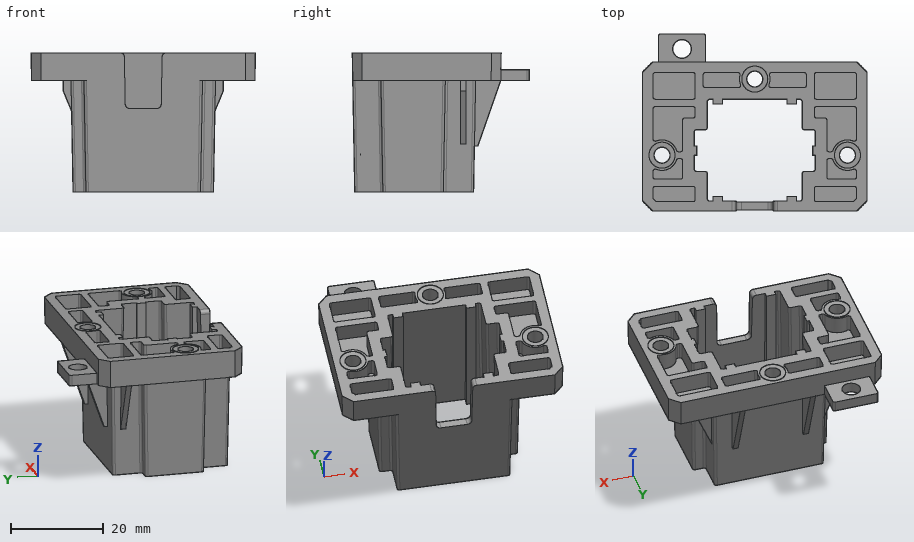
import cadquery as cq
import math

DRAFT = 1.0

WIDTH = 48.4
FLANGE_DEPTH = 32.15
FLANGE_THICK = 6.0
TOTAL_HEIGHT = 30.0
CORNER_CHAMFER = 2.15

CAVITY_HALF_MAIN = 10.2
CAVITY_HALF_WING = 13.02
CAVITY_FRONT = 2.2
CAVITY_BACK = 24.05
CAVITY_WING_FRONT = 8.55
CAVITY_WING_BACK = 17.55
WALL = 2.65
BODY_WING_FRONT = 6.1
BODY_CORNER_RADIUS = 0.55
CAVITY_CORNER_RADIUS = 0.5

END_KEY_WIDTH = 2.15
END_KEY_CENTRE = 8.0
END_KEY_HEIGHT = 1.0
SIDE_KEY_WIDTH = 2.05
SIDE_KEY_CENTRE = 13.02
SIDE_KEY_HEIGHT = 0.55

NOTCH_DEPTH = 12.0
NOTCH_HALF_BOTTOM = 3.85
NOTCH_BOTTOM_RADIUS = 1.0
NOTCH_LIP_RADIUS = 0.85
NOTCH_CLEARANCE = 0.5

SIDE_BOSS_X = 20.0
SIDE_BOSS_Y = 12.05
BACK_BOSS_Y = 28.45
SCREW_RADIUS = 1.7
BOSS_RADIUS = 3.3
SEAT_RADIUS = 2.8
SEAT_DEPTH = 0.1
BOSS_WEB = 1.45

POCKET_DEPTH = 3.95
POCKET_RADIUS = 0.5
POCKET_OUTER_X = 21.95
POCKET_INNER_X = 12.85
POCKET_NARROW_X = 15.55
BACK_POCKET_Y = (24.1, 29.88)
SIDE_POCKET_Y = (6.88, 22.5)
SIDE_POCKET_STEP_Y = 20.1
FRONT_POCKET_Y = (2.05, 5.35)
FRONT_POCKET_CHAMFER = 0.7
MIDDLE_POCKET_Y = (26.65, 29.88)
MIDDLE_POCKET_OUTER_X = 11.15

TAB_X = -15.7
TAB_WIDTH = 10.2
TAB_END_Y = 38.2
TAB_THICK = 2.4
TAB_RADIUS = 0.5
TAB_HOLE_Y = 34.95
TAB_HOLE_RADIUS = 2.0

RIB_THICK = 1.15
SIDE_RIB_Y = 23.95
SIDE_RIB_REACH = 17.3
SIDE_RIB_SHOULDER = 2.2
SIDE_RIB_BOTTOM = 19.65
BACK_RIB_TIP = 0.4
BACK_RIB_BOTTOM = 20.1


def inset(depth):
    """Distance a drafted wall has moved sideways at a given depth below the top."""
    return depth * math.tan(math.radians(DRAFT))


def box(x0, x1, y0, y1, z0, z1):
    return cq.Workplane("XY").box(x1 - x0, y1 - y0, z1 - z0, centered=False).translate((x0, y0, z0))


def cylinder(x, y, radius, top, depth):
    return cq.Workplane("XY", origin=(x, y, top)).circle(radius).extrude(-depth)


def both_sides(solid):
    return solid.union(solid.mirror("YZ"))


def drafted_block(half_width, y_front, y_back):
    """Full-height block of the given top size, narrowing downwards."""
    centre = (0, (y_front + y_back) / 2)
    block = cq.Workplane("XY").center(*centre).rect(2 * half_width, y_back - y_front)
    return block.extrude(-TOTAL_HEIGHT, taper=DRAFT)


def flared_block(half_width, y_front, y_back):
    """Full-height block of the given top size, widening downwards."""
    spread = 2 * inset(TOTAL_HEIGHT)
    centre = (0, (y_front + y_back) / 2, -TOTAL_HEIGHT)
    block = cq.Workplane("XY", origin=centre).rect(2 * half_width + spread, y_back - y_front + spread)
    return block.extrude(TOTAL_HEIGHT, taper=DRAFT)


def flange():
    outline = cq.Sketch().push([(0, FLANGE_DEPTH / 2)]).rect(WIDTH, FLANGE_DEPTH)
    outline = outline.reset().vertices().chamfer(CORNER_CHAMFER)
    return cq.Workplane("XY").placeSketch(outline).extrude(-FLANGE_THICK, taper=DRAFT)


def body():
    main = drafted_block(CAVITY_HALF_MAIN + WALL, 0, CAVITY_BACK + WALL)
    wings = drafted_block(CAVITY_HALF_WING + WALL, BODY_WING_FRONT, CAVITY_WING_BACK + WALL)
    return main.union(wings).edges("not #Z").fillet(BODY_CORNER_RADIUS)


def cavity():
    """Opening that widens downwards, less the keys left standing on its walls."""
    main = flared_block(CAVITY_HALF_MAIN, CAVITY_FRONT, CAVITY_BACK)
    wings = flared_block(CAVITY_HALF_WING, CAVITY_WING_FRONT, CAVITY_WING_BACK)
    opening = main.union(wings).edges("not #Z").fillet(CAVITY_CORNER_RADIUS)
    root = 2 * inset(TOTAL_HEIGHT)
    key_x = (END_KEY_CENTRE - END_KEY_WIDTH / 2, END_KEY_CENTRE + END_KEY_WIDTH / 2)
    side_y = (SIDE_KEY_CENTRE - SIDE_KEY_WIDTH / 2, SIDE_KEY_CENTRE + SIDE_KEY_WIDTH / 2)
    key_z = (-TOTAL_HEIGHT, 0)
    front_key = box(*key_x, CAVITY_FRONT - root, CAVITY_FRONT + END_KEY_HEIGHT, *key_z)
    back_key = box(*key_x, CAVITY_BACK - END_KEY_HEIGHT, CAVITY_BACK + root, *key_z)
    side_key = box(CAVITY_HALF_WING - SIDE_KEY_HEIGHT, CAVITY_HALF_WING + root, *side_y, *key_z)
    for key in (front_key, back_key, side_key):
        opening = opening.cut(both_sides(key))
    return opening


def notch():
    """Cable notch through the front wall, rounded at the bottom and flared at the lip."""
    half_top = NOTCH_HALF_BOTTOM + inset(NOTCH_DEPTH)
    half_neck = half_top - inset(NOTCH_LIP_RADIUS)
    half_lip = half_neck + NOTCH_LIP_RADIUS
    outline = (
        cq.Workplane("XZ", origin=(0, -NOTCH_CLEARANCE, 0))
        .moveTo(-NOTCH_HALF_BOTTOM, -NOTCH_DEPTH)
        .lineTo(NOTCH_HALF_BOTTOM, -NOTCH_DEPTH)
        .lineTo(half_neck, -NOTCH_LIP_RADIUS)
        .radiusArc((half_lip, 0), NOTCH_LIP_RADIUS)
        .lineTo(half_lip, NOTCH_CLEARANCE)
        .lineTo(-half_lip, NOTCH_CLEARANCE)
        .lineTo(-half_lip, 0)
        .radiusArc((-half_neck, -NOTCH_LIP_RADIUS), NOTCH_LIP_RADIUS)
        .close()
    )
    reach = CAVITY_FRONT + END_KEY_HEIGHT + NOTCH_CLEARANCE
    return outline.extrude(-reach).edges("|Y and <Z").fillet(NOTCH_BOTTOM_RADIUS)


def round_pocket(outline, keep_outs=()):
    """Pocket cutter left after removing the keep-outs, with its upright corners rounded."""
    pocket = outline
    for keep_out in keep_outs:
        pocket = pocket.cut(keep_out)
    return pocket.edges("|Z").fillet(POCKET_RADIUS)


def pockets():
    """Each flange pocket on the right-hand side, paired with its mirror image."""
    pocket_z = (-POCKET_DEPTH, 0)
    back = round_pocket(box(POCKET_INNER_X, POCKET_OUTER_X, *BACK_POCKET_Y, *pocket_z))

    back_boss = cylinder(0, BACK_BOSS_Y, BOSS_RADIUS, 0, POCKET_DEPTH)
    middle = round_pocket(box(0, MIDDLE_POCKET_OUTER_X, *MIDDLE_POCKET_Y, *pocket_z), [back_boss])

    side_back = max(SIDE_POCKET_Y)
    side_boss = cylinder(SIDE_BOSS_X, SIDE_BOSS_Y, BOSS_RADIUS, 0, POCKET_DEPTH)
    web_y = (SIDE_BOSS_Y - BOSS_WEB / 2, SIDE_BOSS_Y + BOSS_WEB / 2)
    web = box(POCKET_NARROW_X, SIDE_BOSS_X, *web_y, *pocket_z)
    side = round_pocket(
        box(POCKET_NARROW_X, POCKET_OUTER_X, *SIDE_POCKET_Y, *pocket_z).union(
            box(POCKET_INNER_X, POCKET_OUTER_X, SIDE_POCKET_STEP_Y, side_back, *pocket_z)
        ),
        [side_boss, web],
    )

    front = (
        box(POCKET_INNER_X, POCKET_OUTER_X, *FRONT_POCKET_Y, *pocket_z)
        .edges("|Z and >X and <Y")
        .chamfer(FRONT_POCKET_CHAMFER)
        .edges("|Z and (<X or >Y)")
        .fillet(POCKET_RADIUS)
    )
    return [both_sides(pocket) for pocket in (back, middle, side, front)]


def tab():
    plate = box(
        TAB_X - TAB_WIDTH / 2,
        TAB_X + TAB_WIDTH / 2,
        FLANGE_DEPTH - 2 * inset(FLANGE_THICK),
        TAB_END_Y,
        -FLANGE_THICK,
        TAB_THICK - FLANGE_THICK,
    )
    plate = plate.edges("|Z and >Y").fillet(TAB_RADIUS)
    return plate.cut(cylinder(TAB_X, TAB_HOLE_Y, TAB_HOLE_RADIUS, 0, FLANGE_THICK))


def side_ribs():
    root_x = CAVITY_HALF_MAIN + WALL / 2
    tip_x = CAVITY_HALF_MAIN + WALL - inset(SIDE_RIB_BOTTOM)
    rib = (
        cq.Workplane("XZ", origin=(0, SIDE_RIB_Y, 0))
        .polyline(
            [
                (root_x, -FLANGE_THICK),
                (SIDE_RIB_REACH, -FLANGE_THICK),
                (SIDE_RIB_REACH, -FLANGE_THICK - SIDE_RIB_SHOULDER),
                (tip_x, -SIDE_RIB_BOTTOM),
                (root_x, -SIDE_RIB_BOTTOM),
            ]
        )
        .close()
        .extrude(RIB_THICK / 2, both=True)
    )
    return both_sides(rib)


def back_ribs():
    wall_y = CAVITY_BACK + WALL
    root_y = CAVITY_BACK + WALL / 2
    rib = (
        cq.Workplane("YZ", origin=(END_KEY_CENTRE, 0, 0))
        .polyline(
            [
                (root_y, -FLANGE_THICK),
                (FLANGE_DEPTH - inset(FLANGE_THICK), -FLANGE_THICK),
                (wall_y + BACK_RIB_TIP, -BACK_RIB_BOTTOM),
                (root_y, -BACK_RIB_BOTTOM),
            ]
        )
        .close()
        .extrude(RIB_THICK / 2, both=True)
    )
    return both_sides(rib)


result = flange().union(body()).union(tab()).union(side_ribs()).union(back_ribs())
result = result.cut(cavity()).cut(notch())

for pocket in pockets():
    result = result.cut(pocket)

for x, y in [(-SIDE_BOSS_X, SIDE_BOSS_Y), (SIDE_BOSS_X, SIDE_BOSS_Y), (0, BACK_BOSS_Y)]:
    result = result.cut(cylinder(x, y, SEAT_RADIUS, 0, SEAT_DEPTH))
    result = result.cut(cylinder(x, y, SCREW_RADIUS, 0, FLANGE_THICK))